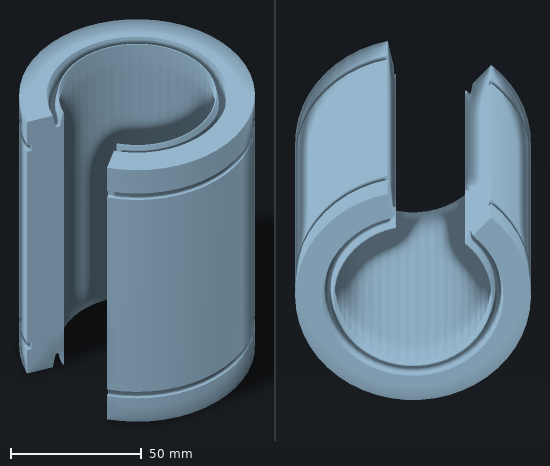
import math

import cadquery as cq


length = 125.0
outer_radius = 45.0
bore_radius = 30.0
gap_angle = 54.0

sleeve_inner_radius = 37.0
retainer_flange = 5.5

ring_groove_span = 101.7
ring_groove_width = 3.15
ring_groove_radius = 43.25

seal_outer_radius = 34.5
seal_lip_thickness = 0.4
seal_bottom_radius = 1.0
seal_wall_angle = math.radians(11.0)

half_length = length / 2
top_side = 1
bottom_side = -1


def tube(outer, inner, height):
    return cq.Workplane("XY").circle(outer).circle(inner).extrude(height / 2, both=True)


def ring_groove(side):
    """Rectangular snap ring groove near one end."""
    centre_z = side * (ring_groove_span - ring_groove_width) / 2
    cutter_radius = outer_radius + 1.0
    return tube(cutter_radius, ring_groove_radius, ring_groove_width).translate((0, 0, centre_z))


def seal_groove(side):
    """Revolved V-shaped seal groove with a rounded bottom, at one end."""
    inner_radius = bore_radius + seal_lip_thickness
    centre_radius = (seal_outer_radius + inner_radius) / 2
    half_width = (seal_outer_radius - inner_radius) / 2
    wall_cos = math.cos(seal_wall_angle)
    wall_sin = math.sin(seal_wall_angle)
    arc_depth = (half_width * wall_cos - seal_bottom_radius) / wall_sin
    tangent_offset = seal_bottom_radius * wall_cos
    tangent_z = side * (half_length - arc_depth - seal_bottom_radius * wall_sin)
    bottom_z = side * (half_length - arc_depth - seal_bottom_radius)
    end_z = side * half_length
    profile = (
        cq.Workplane("XZ")
        .moveTo(inner_radius, end_z)
        .lineTo(centre_radius - tangent_offset, tangent_z)
        .threePointArc((centre_radius, bottom_z), (centre_radius + tangent_offset, tangent_z))
        .lineTo(seal_outer_radius, end_z)
        .close()
    )
    return profile.revolve(360, (0, 0, 0), (0, 1, 0))


def gap_wedge():
    """Wedge with its edge on the axis that opens the bushing towards -Y."""
    reach = 2 * outer_radius
    half_mouth = reach * math.tan(math.radians(gap_angle / 2))
    return (
        cq.Workplane("XY")
        .polyline([(0, 0), (-half_mouth, -reach), (half_mouth, -reach)])
        .close()
        .extrude(half_length, both=True)
    )


def sleeve():
    body = tube(outer_radius, sleeve_inner_radius, length - 2 * retainer_flange)
    for side in (top_side, bottom_side):
        body = body.cut(ring_groove(side))
    return body.cut(gap_wedge())


def retainer():
    """Ball retainer lining the sleeve, with a flange over each sleeve end."""
    body = tube(outer_radius, bore_radius, length)
    body = body.cut(tube(outer_radius, sleeve_inner_radius, length - 2 * retainer_flange))
    for side in (top_side, bottom_side):
        body = body.cut(seal_groove(side))
    return body.cut(gap_wedge())


result = retainer().union(sleeve(), clean=False)